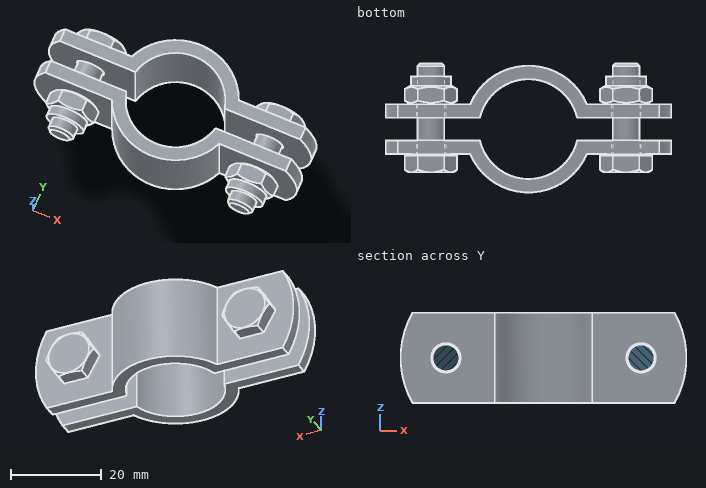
import cadquery as cq
import math

overall_length = 63.0
band_width = 20.0
ring_outer_radius = 28.0 / 2
thickness = 3.0
gap = 5.0
ear_end_radius = band_width
bolt_hole_diameter = 6.5
bolt_spacing = 42.95

ring_inner_radius = ring_outer_radius - thickness
ear_inner_y = gap / 2
ear_outer_y = ear_inner_y + thickness

hex_across_flats = 10.0
hex_across_corners = hex_across_flats / math.cos(math.radians(30))

bolt_diameter = 6.0
bolt_tip_y = -14.5
bolt_tip_chamfer = 0.6
head_total_height = 4.05
washer_face_diameter = 8.7
washer_face_height = 0.3
head_crown_diameter = 9.9
head_crown_angle = 36.0

nut_hex_height = 4.05
nut_crown_diameter = 9.0
nut_crown_angle = 30.0
collar_diameter = 8.9
collar_height = 2.1

bolt_positions = [-bolt_spacing / 2, bolt_spacing / 2]


def cylinder_along_y(diameter, y_low, y_high):
    """Cylinder centred on the Y axis."""
    return (
        cq.Workplane("XZ", origin=(0, y_high, 0))
        .circle(diameter / 2)
        .extrude(y_high - y_low)
    )


def hex_along_y(y_low, y_high):
    """Hexagonal prism centred on the Y axis, with corners toward +X and -X."""
    return (
        cq.Workplane("XZ", origin=(0, y_high, 0))
        .polygon(6, hex_across_corners)
        .extrude(y_high - y_low)
    )


def crown_blank(y_low, y_high, crown_diameter, angle, both_ends):
    """Turned blank with conical ends; its overlap with a hexagon bevels the corners."""
    crown_radius = crown_diameter / 2
    corner_radius = hex_across_corners / 2
    drop = (corner_radius - crown_radius) * math.tan(math.radians(angle))
    profile = cq.Workplane("XY").moveTo(0, y_low)
    if both_ends:
        profile = profile.lineTo(crown_radius, y_low).lineTo(corner_radius, y_low + drop)
    else:
        profile = profile.lineTo(corner_radius, y_low)
    profile = profile.lineTo(corner_radius, y_high - drop).lineTo(crown_radius, y_high)
    return profile.lineTo(0, y_high).close().revolve(360, (0, 0, 0), (0, 1, 0))


def make_rear_clamp():
    """Clamp half on the +Y side."""
    inner_x = math.sqrt(ring_inner_radius**2 - ear_inner_y**2)
    outer_x = math.sqrt(ring_outer_radius**2 - ear_outer_y**2)
    end_x = overall_length / 2
    band = (
        cq.Workplane("XY", origin=(0, 0, -band_width / 2))
        .moveTo(-end_x, ear_inner_y)
        .lineTo(-inner_x, ear_inner_y)
        .threePointArc((0, ring_inner_radius), (inner_x, ear_inner_y))
        .lineTo(end_x, ear_inner_y)
        .lineTo(end_x, ear_outer_y)
        .lineTo(outer_x, ear_outer_y)
        .threePointArc((0, ring_outer_radius), (-outer_x, ear_outer_y))
        .lineTo(-end_x, ear_outer_y)
        .close()
        .extrude(band_width)
    )

    half_width = band_width / 2
    end_depth = ear_end_radius - math.sqrt(ear_end_radius**2 - half_width**2)
    shoulder_x = end_x - end_depth
    face_outline = (
        cq.Workplane("XZ", origin=(0, ring_outer_radius, 0))
        .moveTo(-shoulder_x, -half_width)
        .lineTo(shoulder_x, -half_width)
        .threePointArc((end_x, 0), (shoulder_x, half_width))
        .lineTo(-shoulder_x, half_width)
        .threePointArc((-end_x, 0), (-shoulder_x, -half_width))
        .close()
        .extrude(ring_outer_radius)
    )
    clamp = band.intersect(face_outline)

    for x in bolt_positions:
        hole = cylinder_along_y(bolt_hole_diameter, ear_inner_y, ear_outer_y)
        clamp = clamp.cut(hole.translate((x, 0, 0)))
    return clamp


def make_bolt(x):
    """Hex bolt seated on the rear ear, with its tip toward -Y."""
    seat_y = ear_outer_y
    hex_low_y = seat_y + washer_face_height
    head_top_y = seat_y + head_total_height
    shank = cylinder_along_y(bolt_diameter, bolt_tip_y, seat_y).faces("<Y").chamfer(bolt_tip_chamfer)
    washer_face = cylinder_along_y(washer_face_diameter, seat_y, hex_low_y)
    blank = crown_blank(hex_low_y, head_top_y, head_crown_diameter, head_crown_angle, False)
    head = hex_along_y(hex_low_y, head_top_y).intersect(blank)
    return shank.union(washer_face).union(head).translate((x, 0, 0))


def make_nut(x):
    """Collared lock nut seated on the front ear."""
    seat_y = -ear_outer_y
    hex_low_y = seat_y - nut_hex_height
    collar_end_y = hex_low_y - collar_height
    blank = crown_blank(hex_low_y, seat_y, nut_crown_diameter, nut_crown_angle, True)
    hexagon = hex_along_y(hex_low_y, seat_y).intersect(blank)
    collar = cylinder_along_y(collar_diameter, collar_end_y, hex_low_y)
    bore = cylinder_along_y(bolt_diameter, collar_end_y, seat_y)
    return hexagon.union(collar).cut(bore).translate((x, 0, 0))


rear_clamp = make_rear_clamp()
front_clamp = rear_clamp.mirror("XZ")
bolts = [make_bolt(x).val() for x in bolt_positions]
nuts = [make_nut(x).val() for x in bolt_positions]

result = cq.Compound.makeCompound([rear_clamp.val(), front_clamp.val(), *bolts, *nuts])